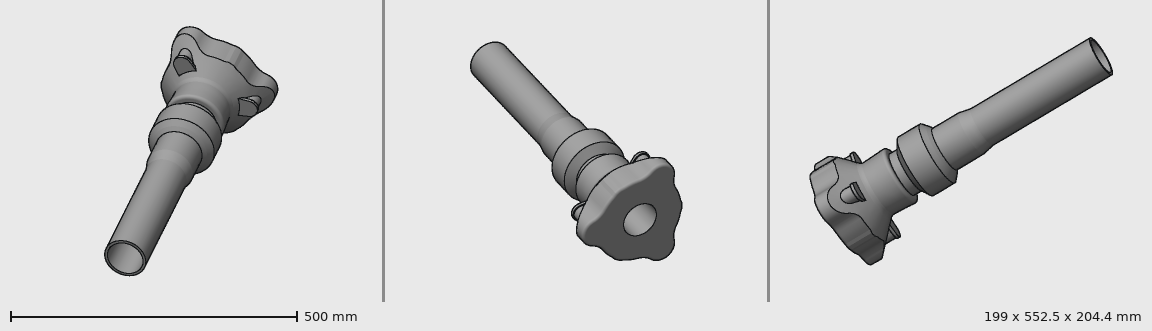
import cadquery as cq
import math

LENGTH = 552.5
BORE_DIAMETER = 65.0
PIPE_RADIUS = 75.0 / 2
SPIGOT_RADIUS = 84.5 / 2
COUPLING_RADIUS = 120.0 / 2
COUPLING_BEVEL_RADIUS = 50.0

COLLAR_START = 82.0
COLLAR_BLEND_END = 90.5
COLLAR_END = 138.5
NECK_END = 155.0
COUPLING_START = 167.5
COUPLING_END = 212.5
COUPLING_BEVEL = 222.0
SPIGOT_START = 227.5
SPIGOT_END = 283.0
PIPE_START = 305.5

COLLAR_TOP_RADIUS = 52.5
COLLAR_BLEND_SAG = 0.85
COLLAR_LIP_RADIUS = 55.0
COLLAR_LIP_ROUNDING = 6.0

LOBE_COUNT = 3
LOBE_PITCH = 360 / LOBE_COUNT
LOBE_CENTER = 84.5
LOBE_RADIUS = 29.0
RIM_RADIUS = 84.0
HOLLOW_RADIUS = 41.5
CONE_SUM = 137.5
BACK_ROUNDING = 5.5

RIB_RADIUS = 85.5
RIB_TOP_HALF_WIDTH = 5.5
RIB_FOOT_HALF_WIDTH = 12.5

FOOT_CENTER = 80.0
PAD_RADIUS = 16.5
STEM_RADIUS = 14.5
PAD_START = 67.5
PAD_END = 73.5
FOOT_FLARE = 5.0
FOOT_INNER_RADIUS = 50.0


def polar(radius, angle):
    """Point at a radius from the axis and an angle in degrees."""
    turn = math.radians(angle)
    return (radius * math.cos(turn), radius * math.sin(turn))


def along(start, end, distance):
    """Point on the line from start to end, at a distance from start."""
    ratio = distance / math.dist(start, end)
    return (start[0] + ratio * (end[0] - start[0]), start[1] + ratio * (end[1] - start[1]))


def flange_outline():
    """Round lobes, hollow arcs tangent to lobe and rim, and a rib in the middle of each side."""
    to_hollow = RIM_RADIUS + HOLLOW_RADIUS
    lobe_to_hollow = LOBE_RADIUS + HOLLOW_RADIUS
    cosine = (LOBE_CENTER**2 + to_hollow**2 - lobe_to_hollow**2) / (2 * LOBE_CENTER * to_hollow)
    hollow_angle = math.degrees(math.acos(cosine))
    rib_foot_angle = LOBE_PITCH / 2 - math.degrees(math.asin(RIB_FOOT_HALF_WIDTH / RIM_RADIUS))
    rib_top_angle = LOBE_PITCH / 2 - math.degrees(math.asin(RIB_TOP_HALF_WIDTH / RIB_RADIUS))

    def hollow_points(lobe_angle, side):
        """Lobe end, middle and rim end of the hollow on one side (+1 or -1) of a lobe."""
        lobe = polar(LOBE_CENTER, lobe_angle)
        hollow = polar(to_hollow, lobe_angle + side * hollow_angle)
        lobe_end = along(lobe, hollow, LOBE_RADIUS)
        rim_end = polar(RIM_RADIUS, lobe_angle + side * hollow_angle)
        chord_middle = ((lobe_end[0] + rim_end[0]) / 2, (lobe_end[1] + rim_end[1]) / 2)
        return lobe_end, along(hollow, chord_middle, HOLLOW_RADIUS), rim_end

    outline = cq.Workplane("XZ").moveTo(*hollow_points(0, -1)[0])
    rim_middle_angle = (hollow_angle + rib_foot_angle) / 2
    for index in range(LOBE_COUNT):
        angle = index * LOBE_PITCH
        next_angle = angle + LOBE_PITCH
        middle_angle = angle + LOBE_PITCH / 2
        lobe_end, hollow_middle, rim_end = hollow_points(angle, 1)
        next_lobe_end, next_hollow_middle, next_rim_end = hollow_points(next_angle, -1)
        outline = (
            outline.threePointArc(polar(LOBE_CENTER + LOBE_RADIUS, angle), lobe_end)
            .threePointArc(hollow_middle, rim_end)
            .threePointArc(
                polar(RIM_RADIUS, angle + rim_middle_angle),
                polar(RIM_RADIUS, angle + rib_foot_angle),
            )
            .lineTo(*polar(RIB_RADIUS, angle + rib_top_angle))
            .threePointArc(polar(RIB_RADIUS, middle_angle), polar(RIB_RADIUS, next_angle - rib_top_angle))
            .lineTo(*polar(RIM_RADIUS, next_angle - rib_foot_angle))
            .threePointArc(polar(RIM_RADIUS, next_angle - rim_middle_angle), next_rim_end)
            .threePointArc(next_hollow_middle, next_lobe_end)
        )
    return outline.close()


def turned(profile):
    """Solid of revolution about the Y axis from (radius, depth) points."""
    points = [(radius, -depth) for radius, depth in profile]
    return cq.Workplane("XY").polyline(points).close().revolve(360, (0, 0), (0, 1))


def flange():
    """Lobed prism with a rounded back edge, trimmed in front by a 45-degree cone."""
    prism = flange_outline().extrude(COLLAR_START).faces(">Y").edges().fillet(BACK_ROUNDING)
    cone = turned([(0, 0), (CONE_SUM, 0), (CONE_SUM - COLLAR_START, COLLAR_START), (0, COLLAR_START)])
    return prism.intersect(cone)


def collar():
    """Collar that leaves the flange cone in a hollow arc and ends in a rounded lip."""
    cone_radius = CONE_SUM - COLLAR_START
    blend_middle = (
        (cone_radius + COLLAR_TOP_RADIUS) / 2 - COLLAR_BLEND_SAG,
        -(COLLAR_START + COLLAR_BLEND_END) / 2,
    )
    solid = (
        cq.Workplane("XY")
        .moveTo(0, -COLLAR_START)
        .lineTo(cone_radius, -COLLAR_START)
        .threePointArc(blend_middle, (COLLAR_TOP_RADIUS, -COLLAR_BLEND_END))
        .lineTo(COLLAR_LIP_RADIUS, -COLLAR_END)
        .lineTo(0, -COLLAR_END)
        .close()
        .revolve(360, (0, 0), (0, 1))
    )
    return solid.faces("<Y").edges().fillet(COLLAR_LIP_ROUNDING)


def pipe():
    """Neck, bevelled coupling, spigot, taper and plain pipe in one turned piece."""
    return turned([
        (0, COLLAR_START),
        (SPIGOT_RADIUS, COLLAR_START),
        (SPIGOT_RADIUS, NECK_END),
        (COUPLING_RADIUS, COUPLING_START),
        (COUPLING_RADIUS, COUPLING_END),
        (COUPLING_BEVEL_RADIUS, COUPLING_BEVEL),
        (SPIGOT_RADIUS, SPIGOT_START),
        (SPIGOT_RADIUS, SPIGOT_END),
        (PIPE_RADIUS, PIPE_START),
        (PIPE_RADIUS, LENGTH),
        (0, LENGTH),
    ])


def foot_block(end_radius, start, end):
    """Block with a round outer end; its sides flare slightly towards the axis."""
    tangent = polar(end_radius, 90 - FOOT_FLARE)
    side_x = FOOT_CENTER + tangent[0]
    inner_half_width = tangent[1] + (side_x - FOOT_INNER_RADIUS) * math.tan(math.radians(FOOT_FLARE))
    return (
        cq.Workplane("XZ", origin=(0, -start, 0))
        .moveTo(FOOT_INNER_RADIUS, -inner_half_width)
        .lineTo(side_x, -tangent[1])
        .threePointArc((FOOT_CENTER + end_radius, 0), (side_x, tangent[1]))
        .lineTo(FOOT_INNER_RADIUS, inner_half_width)
        .close()
        .extrude(end - start)
    )


def foot():
    """Stem starting where the cone meets the lobe tip, with its pad on the end."""
    stem_start = CONE_SUM - LOBE_CENTER - LOBE_RADIUS
    stem = foot_block(STEM_RADIUS, stem_start, PAD_START)
    pad = foot_block(PAD_RADIUS, PAD_START, PAD_END)
    return stem.union(pad)


result = flange().union(collar()).union(pipe())
for lobe in range(LOBE_COUNT):
    result = result.union(foot().rotate((0, 0, 0), (0, 1, 0), lobe * LOBE_PITCH))

result = result.cut(cq.Workplane("XZ").circle(BORE_DIAMETER / 2).extrude(LENGTH))